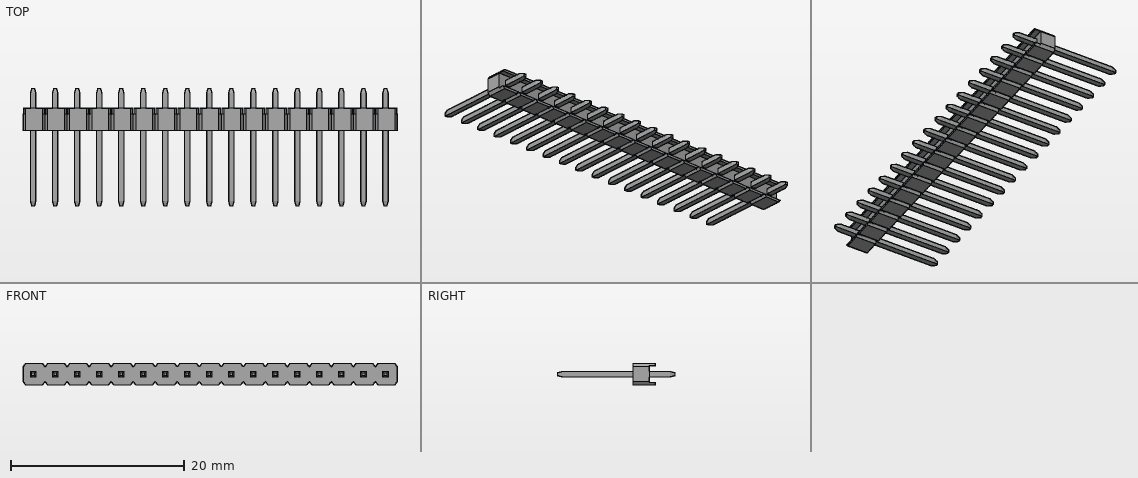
import cadquery as cq

pin_count = 17
body_length = 43.2
body_height = 2.5
body_depth = 2.6
pitch = body_length / pin_count

bevel_width = 0.3
bevel_height = 0.4
channel_depth = 0.7
lip_thickness = 0.3

pin_width = 0.65
pin_total_length = 13.6
pin_front_reach = 8.72
pin_shift = -0.11
tip_length = 0.55
tip_width = 0.325

pin_front_y = -pin_front_reach
pin_rear_y = pin_front_y + pin_total_length
cell_centres = [(i - (pin_count - 1) / 2) * pitch for i in range(pin_count)]


def make_cell(x):
    """One body cell: an octagonal outline extruded along Y."""
    side = pitch / 2
    top = body_height / 2
    flat_side = side - bevel_width
    flat_top = top - bevel_height
    outline = [
        (-side, -flat_top),
        (-flat_side, -top),
        (flat_side, -top),
        (side, -flat_top),
        (side, flat_top),
        (flat_side, top),
        (-flat_side, top),
        (-side, flat_top),
    ]
    return cq.Workplane("XZ").polyline(outline).close().extrude(-body_depth).translate((x, 0, 0))


def make_body():
    """Row of joined cells with a channel along the rear face."""
    body = make_cell(cell_centres[0])
    for x in cell_centres[1:]:
        body = body.union(make_cell(x))
    channel_height = body_height - 2 * lip_thickness
    channel = (
        cq.Workplane("XY")
        .box(body_length, channel_depth, channel_height)
        .translate((0, body_depth - channel_depth / 2, 0))
    )
    return body.cut(channel)


def make_tip(shoulder_y, direction):
    """Square taper running from the shaft end outwards along Y."""
    return (
        cq.Workplane("XZ", origin=(0, shoulder_y, 0))
        .rect(pin_width, pin_width)
        .workplane(offset=-direction * tip_length)
        .rect(tip_width, tip_width)
        .loft()
    )


def make_pin():
    """Square pin on the Y axis with a tapered tip at each end."""
    shaft_length = pin_total_length - 2 * tip_length
    shaft = (
        cq.Workplane("XY")
        .box(pin_width, shaft_length, pin_width)
        .translate((0, (pin_front_y + pin_rear_y) / 2, 0))
    )
    front_tip = make_tip(pin_front_y + tip_length, -1)
    rear_tip = make_tip(pin_rear_y - tip_length, 1)
    return shaft.union(front_tip).union(rear_tip)


result = make_body()
pin = make_pin()
for x in cell_centres:
    result = result.union(pin.translate((x + pin_shift, 0, 0)))